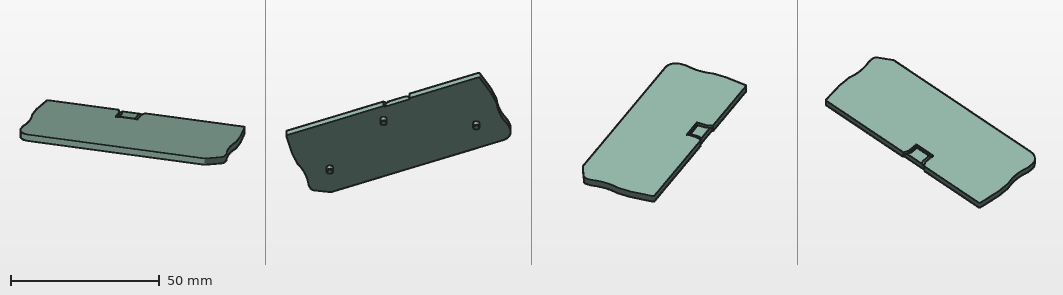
import cadquery as cq
import math

length = 72.1
width = 29.0
total_height = 4.4
plate_thickness = 2.4
top_inset = 1.1
lean_start = 20.7
front_left_radius = 4.0
back_corner_radius = 0.5

grip_front = 6.0
grip_back = 16.0
grip_depth = 0.7

bevel_length = 5.7
bevel_angle = 30.0
bevel_radius = 1.7

pocket_center = 31.0
pocket_width = 7.65
pocket_front = 23.35
pocket_depth = 1.15
pad_drop = 0.2
side_slope_width = 1.1
front_slope_width = 0.9
flare_start = 27.25
flare_width = 0.6
notch_depth = 0.4
notch_slant = 0.35
notch_front = width - notch_depth

pin_diameter = 2.2
pin_chamfer = 0.2
pin_front_row = 10.25
pin_back_row = 23.6
pin_places = [(9.65, pin_front_row), (37.85, pin_back_row), (62.65, pin_front_row)]
pin_length = total_height - plate_thickness


def make_plate():
    bevel_rise = bevel_length * math.tan(math.radians(bevel_angle))
    grip_middle = (grip_front + grip_back) / 2
    plate = (
        cq.Workplane("XY")
        .lineTo(length - bevel_length, 0)
        .lineTo(length, bevel_rise)
        .lineTo(length, grip_front)
        .threePointArc((length - grip_depth, grip_middle), (length, grip_back))
        .lineTo(length, lean_start)
        .lineTo(length - top_inset, width)
        .lineTo(top_inset, width)
        .lineTo(0, lean_start)
        .lineTo(0, grip_back)
        .threePointArc((grip_depth, grip_middle), (0, grip_front))
        .close()
        .extrude(plate_thickness)
    )

    def round_edge(body, x, y, radius):
        edge = cq.selectors.NearestToPointSelector((x, y, plate_thickness / 2))
        return body.edges("|Z").edges(edge).fillet(radius)

    plate = round_edge(plate, 0, 0, front_left_radius)
    plate = round_edge(plate, length - bevel_length, 0, bevel_radius)
    plate = round_edge(plate, length, bevel_rise, bevel_radius)
    for x in (top_inset, length - top_inset):
        plate = round_edge(plate, x, width, back_corner_radius)
    return plate


def pocket_outline(height, half_width, front):
    """Closed pocket outline, widening towards the notch."""
    flared = half_width + flare_width
    return (
        cq.Workplane("XY", origin=(pocket_center, 0, height))
        .moveTo(-half_width, front)
        .lineTo(half_width, front)
        .lineTo(half_width, flare_start)
        .lineTo(flared, notch_front)
        .lineTo(-flared, notch_front)
        .lineTo(-half_width, flare_start)
        .close()
    )


def make_pocket():
    floor = plate_thickness - pocket_depth
    return pocket_outline(floor, pocket_width / 2, pocket_front).extrude(pocket_depth)


def make_pad():
    """Pad with sloping sides that fills the pocket floor and rises towards the plate top."""
    base = pocket_outline(plate_thickness - pocket_depth, pocket_width / 2, pocket_front)
    top = pocket_outline(
        plate_thickness - pad_drop,
        pocket_width / 2 - side_slope_width,
        pocket_front + front_slope_width,
    )
    return cq.Workplane(cq.Solid.makeLoft([base.val(), top.val()], True))


def make_notch():
    front_half = pocket_width / 2 + flare_width
    back_half = front_half + notch_slant
    return (
        cq.Workplane("XY", origin=(pocket_center, width, 0))
        .polyline([
            (-back_half, 0),
            (-front_half, -notch_depth),
            (front_half, -notch_depth),
            (back_half, 0),
        ])
        .close()
        .extrude(plate_thickness)
    )


def make_pin():
    pin = cq.Workplane("XY").circle(pin_diameter / 2).extrude(-pin_length)
    return pin.faces("<Z").chamfer(pin_chamfer)


result = make_plate().cut(make_notch()).cut(make_pocket()).union(make_pad())
pin = make_pin()
for x, y in pin_places:
    result = result.union(pin.translate((x, y, 0)))